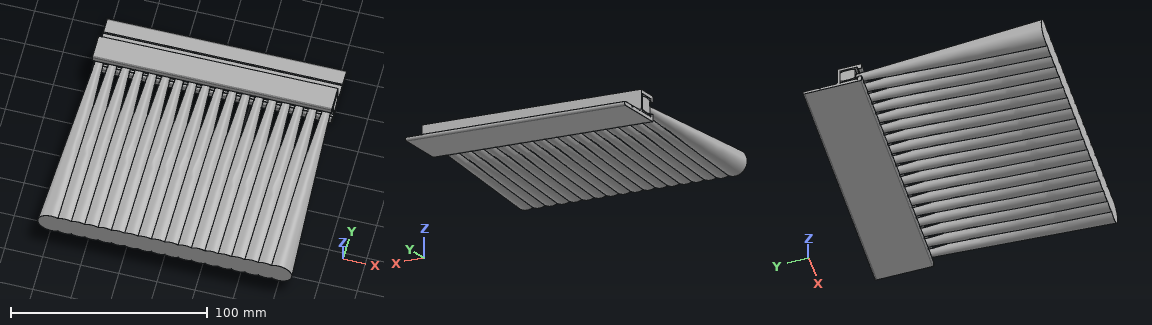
import cadquery as cq

tuft_count = 18
overall_width = 133.5
tuft_tip_radius = 7.2
tuft_root_radius = 2.1
tuft_length = 100.1
tuft_pitch = (overall_width - 2 * tuft_tip_radius) / (tuft_count - 1)

bar_depth = 8.1
bar_edge_height = 7.0
bar_bulge = 0.5

rail_length = 125.7
rail_depth = 31.4
rail_height = 13.9
plate_thickness = 2.1
channel_depth = 13.0
back_wall_thickness = 1.3
lip_thickness = 2.4
lip_gap = 6.1
lip_chamfer = 0.7
lip_fillet = 0.5
flange_fillet = 1.5
groove_offset = 9.1
groove_width = 0.8
groove_depth = 0.5

rail_bottom = -rail_height / 2
rail_top = rail_height / 2
flange_top = rail_bottom + plate_thickness
channel_top = rail_top - plate_thickness
bar_back = channel_depth - back_wall_thickness
bar_front = bar_back - bar_depth
half_length = rail_length / 2


def make_rail():
    """Extruded channel with lips, a round-ended flange and a V-groove."""
    flange_radius = plate_thickness / 2
    flange_round_start = rail_depth - flange_radius
    groove_y = rail_depth - groove_offset
    lip_edge = lip_gap / 2
    rail = (
        cq.Workplane("YZ", origin=(-half_length, 0, 0))
        .moveTo(0, rail_bottom)
        .lineTo(flange_round_start, rail_bottom)
        .threePointArc((rail_depth, rail_bottom + flange_radius), (flange_round_start, flange_top))
        .lineTo(groove_y + groove_width / 2, flange_top)
        .lineTo(groove_y, flange_top - groove_depth)
        .lineTo(groove_y - groove_width / 2, flange_top)
        .lineTo(channel_depth, flange_top)
        .lineTo(channel_depth, rail_top)
        .lineTo(0, rail_top)
        .lineTo(0, lip_edge)
        .lineTo(lip_thickness - lip_chamfer, lip_edge)
        .lineTo(lip_thickness, lip_edge + lip_chamfer)
        .lineTo(lip_thickness, channel_top)
        .lineTo(bar_back, channel_top)
        .lineTo(bar_back, flange_top)
        .lineTo(lip_thickness, flange_top)
        .lineTo(lip_thickness, -lip_edge - lip_chamfer)
        .lineTo(lip_thickness - lip_chamfer, -lip_edge)
        .lineTo(0, -lip_edge)
        .close()
        .extrude(rail_length)
    )
    inner_corner = cq.selectors.NearestToPointSelector((0, channel_depth, flange_top))
    rail = rail.edges(inner_corner).fillet(flange_fillet)
    return rail.faces("<Y").edges("|X").fillet(lip_fillet)


def make_bar():
    """Backing bar with slightly crowned top and bottom faces."""
    bar_middle = (bar_front + bar_back) / 2
    edge_z = bar_edge_height / 2
    crown_z = edge_z + bar_bulge
    return (
        cq.Workplane("YZ", origin=(-half_length, 0, 0))
        .moveTo(bar_front, -edge_z)
        .threePointArc((bar_middle, -crown_z), (bar_back, -edge_z))
        .lineTo(bar_back, edge_z)
        .threePointArc((bar_middle, crown_z), (bar_front, edge_z))
        .close()
        .extrude(rail_length)
    )


def make_tuft(x):
    """Cone of bristles that widens away from the bar, toward -Y."""
    root_center = cq.Vector(x, bar_front, 0)
    direction = cq.Vector(0, -1, 0)
    cone = cq.Solid.makeCone(tuft_root_radius, tuft_tip_radius, tuft_length, root_center, direction)
    return cq.Workplane(cone)


def make_brush():
    """Bar and all tufts joined into one body."""
    brush = make_bar()
    first_x = -tuft_pitch * (tuft_count - 1) / 2
    for index in range(tuft_count):
        brush = brush.union(make_tuft(first_x + index * tuft_pitch))
    return brush


rail = make_rail()
brush = make_brush()

result = cq.Compound.makeCompound([rail.val(), brush.val()])